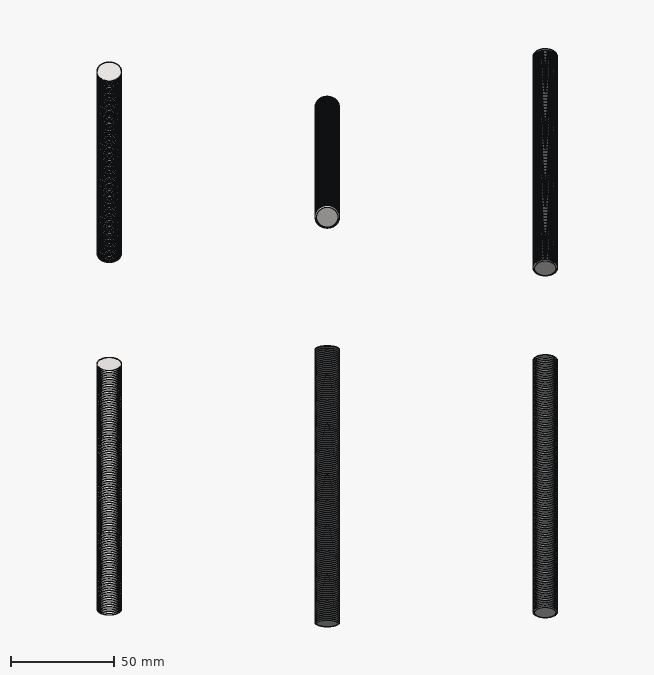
import cadquery as cq
import math

length = 140.0
ridge_count = 140
pitch = length / ridge_count
diameter_to_pitch = 12
crest_diameter = diameter_to_pitch * pitch
groove_depth = 0.8

rim_radius = pitch / 2


def half_section():
    """Half of the lengthwise section, with the rod axis along local Y."""
    crest_radius = crest_diameter / 2
    root_radius = crest_radius - groove_depth
    section = cq.Workplane("XZ").lineTo(root_radius, 0)
    for ridge in range(ridge_count):
        bottom = ridge * pitch
        if ridge > 0:
            section = section.lineTo(root_radius, bottom)
        section = section.lineTo(crest_radius, bottom + pitch / 2)

    face_radius = crest_radius - rim_radius
    rim_offset = rim_radius * math.sqrt(0.5)
    rim_middle = (face_radius + rim_offset, length - rim_radius + rim_offset)
    section = section.threePointArc(rim_middle, (face_radius, length))
    return section.lineTo(0, length).close()


result = half_section().revolve(360, (0, 0, 0), (0, 1, 0))